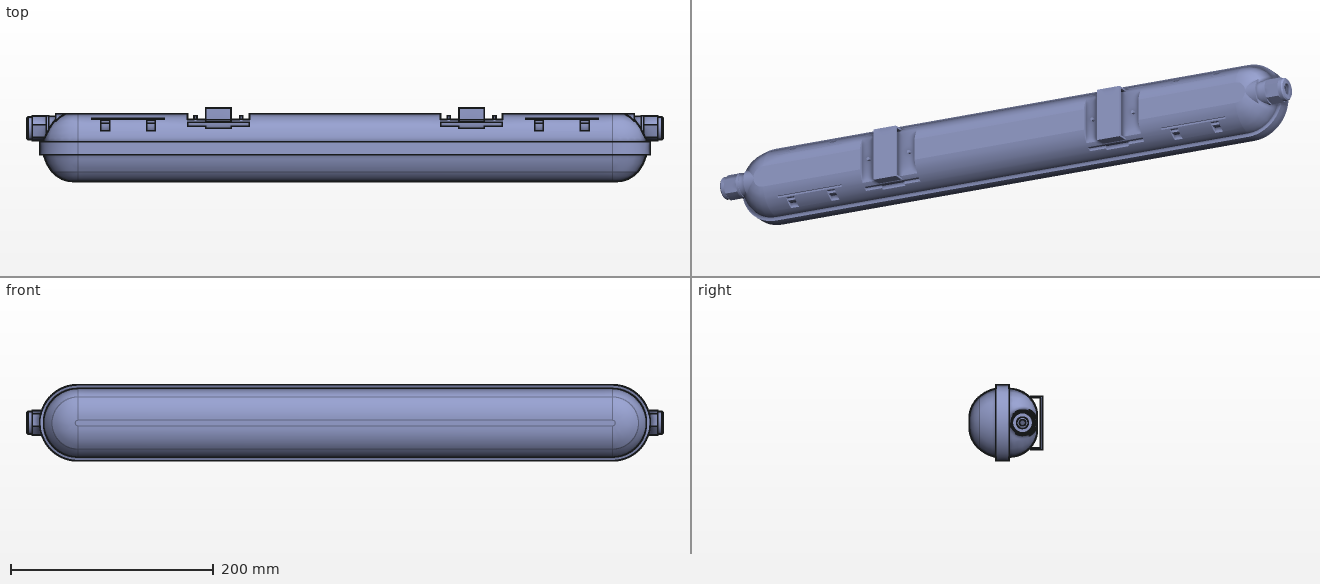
import cadquery as cq
import math

length = 627.0
depth = 73.0
height = 75.0
front_y = -depth / 2
back_y = depth / 2

seal_start = front_y + 26.5
seal_end = front_y + 39.5
housing_back = front_y + 67.0
shell_half = 34.0
lens_flat_half = 2.8
lens_seam_y = front_y + 10.0
lens_seam_half = 26.0
base_flat_half = 10.5
base_shoulder_y = front_y + 57.5
base_shoulder_half = 27.0
end_center_x = 263.5

gland_y = front_y + 52.5
boss_radius = 14.5
boss_end_x = 285.0
hex_radius = 12.5
hex_turn = 15.0
neck_radius = 12.0
collar_start_x = 292.0
hex_start_x = 295.0
hex_end_x = 308.5
nose_radius = 11.0
nose_chamfer = 1.0
entry_radius = 5.5
entry_depth = 2.5
bore_radius = 3.0
bore_depth = 9.5

bracket_x = 125.0
bracket_width = 25.0
bracket_half_height = 26.5
bracket_thickness = 2.5
leg_thickness = 2.0
leg_end_y = front_y + 52.5
crease_start_y = front_y + 58.0
crease_end_y = front_y + 61.0
crease_depth = 0.5
seat_width = 61.0
seat_floor_y = front_y + 61.5
ledge_y = front_y + 54.5
pin_offset = 22.5
pin_diameter = 3.0
pin_height = 4.0

clip_x = 214.0
clip_length = 71.5
clip_floor_y = front_y + 61.5
clip_wall_half = 21.5
clip_tab_offset = 22.5
clip_tab_width = 9.0
clip_tab_step_y = front_y + 57.5
clip_tab_step_half = 24.0
clip_tab_floor_y = front_y + 50.0
clip_tab_wall_half = 26.5


def box_between(x_center, width, y_min, y_max, z_min, z_max):
    """Axis-aligned box given by its X centre and width and its Y and Z limits."""
    size = (width, y_max - y_min, z_max - z_min)
    middle = (x_center, (y_min + y_max) / 2, (z_min + z_max) / 2)
    return cq.Workplane("XY").box(*size).translate(middle)


def cut_both_shoulders(body, x_center, width, floor_y, wall_half):
    """Remove everything behind floor_y and farther than wall_half from the mid plane."""
    upper = box_between(x_center, width, floor_y, back_y, wall_half, height / 2)
    return body.cut(upper).cut(upper.mirror("XY"))


def half_profile():
    """Upper half of the housing cross-section, in (Y, distance from the mid plane)."""
    half = height / 2
    lens_bulge_y = front_y + 2.5
    lens_bulge_half = 15.5
    return [
        ("line", (front_y, lens_flat_half)),
        ("arc", (lens_bulge_y, lens_bulge_half), (lens_seam_y, lens_seam_half)),
        ("tangent", (seal_start, shell_half)),
        ("line", (seal_start, half)),
        ("line", (seal_end, half)),
        ("line", (seal_end, shell_half)),
        ("arc", (base_shoulder_y, base_shoulder_half), (housing_back, base_flat_half)),
        ("line", (housing_back, 0)),
    ]


def profile_wire(plane, to_local):
    """Closed half cross-section; to_local turns (Y, half height) into plane coordinates."""
    wire = cq.Workplane(plane).moveTo(*to_local(front_y, 0))
    for kind, *points in half_profile():
        local = [to_local(*point) for point in points]
        if kind == "arc":
            wire = wire.threePointArc(*local)
        elif kind == "tangent":
            wire = wire.tangentArcPoint(*local, relative=False)
        else:
            wire = wire.lineTo(*local[0])
    return wire.close()


def make_housing():
    """Straight trough between two rounded ends swept about axes parallel to Y."""
    straight = profile_wire("YZ", lambda y, z: (y, z)).extrude(end_center_x, both=True)
    housing = straight.union(straight.mirror("XY"))
    end = profile_wire("XY", lambda y, r: (r, y)).revolve(360, (0, 0, 0), (0, 1, 0))
    for side in (-1, 1):
        housing = housing.union(end.translate((side * end_center_x, 0, 0)))
    return housing


def cylinder_x(radius, x_start, x_end):
    """Cylinder along X on the gland axis."""
    disc = cq.Workplane("YZ", origin=(x_start, gland_y, 0)).circle(radius)
    return disc.extrude(x_end - x_start)


def make_gland():
    """Gland on the +X end: boss, neck, collar, hexagon and chamfered nose with a stepped bore."""
    tip_x = length / 2
    corners = []
    for corner in range(6):
        angle = math.radians(hex_turn + 60 * corner)
        corners.append((-hex_radius * math.cos(angle), -hex_radius * math.sin(angle)))
    hexagon = cq.Workplane("YZ", origin=(hex_start_x, gland_y, 0)).polyline(corners).close()
    nose = cylinder_x(nose_radius, hex_end_x, tip_x).faces(">X").chamfer(nose_chamfer)
    gland = cylinder_x(boss_radius, end_center_x, boss_end_x)
    gland = gland.union(cylinder_x(neck_radius, end_center_x, collar_start_x))
    gland = gland.union(cylinder_x(hex_radius, collar_start_x, hex_start_x))
    gland = gland.union(hexagon.extrude(hex_end_x - hex_start_x)).union(nose)
    gland = gland.cut(cylinder_x(entry_radius, tip_x - entry_depth, tip_x))
    return gland.cut(cylinder_x(bore_radius, tip_x - bore_depth, tip_x))


def cut_bracket_seat(body, x_center):
    """Flat seat across the back with a ledge and a leg slot on either shoulder."""
    body = cut_both_shoulders(body, x_center, seat_width, seat_floor_y, 0)
    body = cut_both_shoulders(body, x_center, seat_width, ledge_y, bracket_half_height)
    return cut_both_shoulders(body, x_center, bracket_width, leg_end_y, bracket_half_height)


def make_bracket(x_center):
    """U-shaped strap whose creased legs run into the base."""
    half = bracket_half_height
    strap = box_between(x_center, bracket_width, leg_end_y, back_y, -half, half)
    inner_half = half - leg_thickness
    inner_back = back_y - bracket_thickness
    opening = box_between(x_center, bracket_width, leg_end_y, inner_back, -inner_half, inner_half)
    crease_bottom = half - crease_depth
    crease = box_between(x_center, bracket_width, crease_start_y, crease_end_y, crease_bottom, half)
    return strap.cut(opening).cut(crease).cut(crease.mirror("XY"))


def make_pin(x_center):
    """Small locating pin standing on the bracket seat."""
    base = cq.Workplane("XZ", origin=(x_center, seat_floor_y, 0))
    return base.circle(pin_diameter / 2).extrude(-pin_height)


def cut_clip_recess(body, x_center):
    """Shallow shoulder recess with two stepped tab pockets."""
    body = cut_both_shoulders(body, x_center, clip_length, clip_floor_y, clip_wall_half)
    for side in (-1, 1):
        tab_x = x_center + side * clip_tab_offset
        body = cut_both_shoulders(body, tab_x, clip_tab_width, clip_tab_step_y, clip_tab_step_half)
        body = cut_both_shoulders(body, tab_x, clip_tab_width, clip_tab_floor_y, clip_tab_wall_half)
    return body


result = make_housing()
right_gland = make_gland()
result = result.union(right_gland).union(right_gland.mirror("YZ"))
for end_side in (-1, 1):
    seat_x = end_side * bracket_x
    result = cut_bracket_seat(result, seat_x)
    result = result.union(make_bracket(seat_x))
    for pin_side in (-1, 1):
        result = result.union(make_pin(seat_x + pin_side * pin_offset))
    result = cut_clip_recess(result, end_side * clip_x)